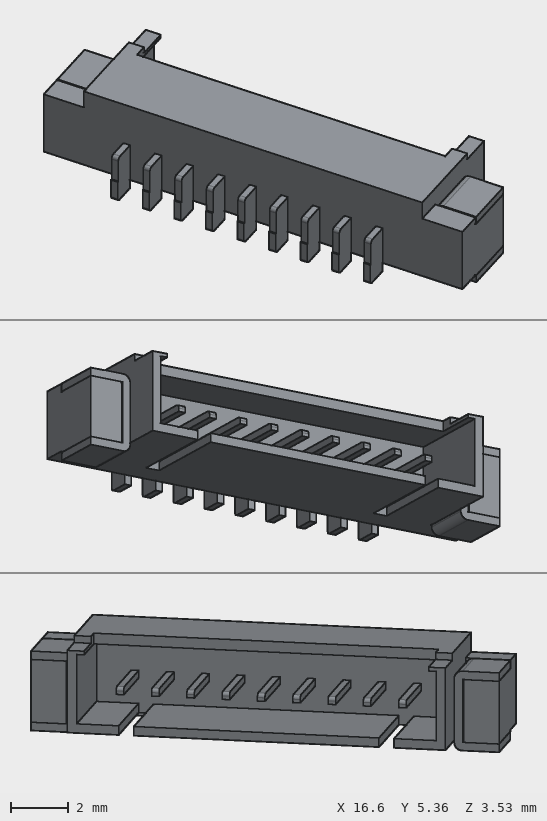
import cadquery as cq


LENGTH = 16.58
CORE_LENGTH = 13.4
DEPTH = 4.46
TOP = 3.53
BOTTOM = 0.35
EAR_DEPTH = 2.95
EAR_TOP = 2.84
COVER_DEPTH = 2.75
RIM_START = 3.25
RIM_TOP = 3.28

FRONT_WALL = 1.0
FLOOR = 0.33
ROOF_UNDERSIDE = 3.15
CAVITY_WIDTH = 12.73
WINDOW_WIDTH = 12.2
FLOOR_SLOT_INNER = 4.35
FLOOR_SLOT_OUTER = 4.87

TAB_THICKNESS = 0.3
TAB_FRONT = 1.0
TAB_CLEARANCE = 0.05
TAB_BEND_RADIUS = 0.28

PIN_COUNT = 9
PIN_PITCH = 1.25
PIN_WIDTH = 0.27
PIN_ROUND = 0.13
PIN_REACH = 0.9
PIN_SETBACK = 0.05
PIN_FOOT_TOP = 0.85
PIN_TOP = 1.85
PIN_TIP = 3.61
POST_HEIGHT = 0.27


def block(x0, x1, y0, y1, z0, z1):
    """Box between opposite corner coordinates."""
    return cq.Workplane("XY").box(x1 - x0, y1 - y0, z1 - z0, centered=False).translate((x0, y0, z0))


def both_ends(left):
    """A left-end shape together with its mirror image."""
    return left.union(left.mirror("YZ"))


def make_shell():
    """Housing body with its ears and lowered rear side walls."""
    half = CORE_LENGTH / 2
    core = block(-half, half, 0, DEPTH, BOTTOM, TOP)
    ears = block(-LENGTH / 2, LENGTH / 2, 0, EAR_DEPTH, BOTTOM, EAR_TOP)
    above_rim = block(-half, half, RIM_START, DEPTH, RIM_TOP, TOP)
    return core.union(ears).cut(above_rim)


def cut_cavity(shell):
    """Mating cavity with the roof window and the two slots through the floor."""
    floor_top = BOTTOM + FLOOR
    cavity = block(-CAVITY_WIDTH / 2, CAVITY_WIDTH / 2, FRONT_WALL, DEPTH, floor_top, ROOF_UNDERSIDE)
    window = block(-WINDOW_WIDTH / 2, WINDOW_WIDTH / 2, COVER_DEPTH, DEPTH, ROOF_UNDERSIDE, TOP)
    slot = block(-FLOOR_SLOT_OUTER, -FLOOR_SLOT_INNER, FRONT_WALL, DEPTH, BOTTOM, floor_top)
    return shell.cut(cavity).cut(window).cut(both_ends(slot))


def cut_tab_slots(shell):
    """Slot around each ear for its tab; the block left inside fills the C of the tab."""
    slot_front = TAB_FRONT - TAB_CLEARANCE
    outer = -LENGTH / 2
    web_outer = -CORE_LENGTH / 2
    core_inner = web_outer - TAB_THICKNESS - TAB_CLEARANCE
    slot = block(outer, web_outer, slot_front, EAR_DEPTH, BOTTOM, EAR_TOP)
    core = block(outer, core_inner, slot_front, EAR_DEPTH, TAB_THICKNESS, EAR_TOP - TAB_THICKNESS)
    return shell.cut(both_ends(slot)).union(both_ends(core))


def make_pin():
    """Contact centred on x = 0: post through the front wall, leg outside it and foot below the leg."""
    half = PIN_WIDTH / 2
    post = block(-half, half, 0, PIN_TIP, PIN_TOP - POST_HEIGHT, PIN_TOP)
    post = post.edges("|X and >Y and >Z").fillet(PIN_ROUND)
    leg = block(-half, half, PIN_SETBACK - PIN_REACH, 0, PIN_FOOT_TOP, PIN_TOP)
    leg = leg.edges("|X and <Y and >Z").fillet(PIN_ROUND)
    foot = block(-half, half, -PIN_REACH, 0, 0, PIN_FOOT_TOP)
    foot = foot.edges("|X and <Y and <Z").fillet(PIN_ROUND)
    return post.union(leg).union(foot)


def make_housing():
    """Insulator with the contacts fixed in it as one solid."""
    housing = cut_tab_slots(cut_cavity(make_shell()))
    pin = make_pin()
    for index in range(PIN_COUNT):
        offset = (index - (PIN_COUNT - 1) / 2) * PIN_PITCH
        housing = housing.union(pin.translate((offset, 0, 0)))
    return housing


def make_left_tab():
    """C-shaped strip: a flange above and below the ear joined by an inner web."""
    outer = -LENGTH / 2
    web_outer = -CORE_LENGTH / 2
    web_inner = web_outer - TAB_THICKNESS
    strip = block(outer, web_outer, TAB_FRONT, EAR_DEPTH, 0, EAR_TOP)
    strip = strip.edges("|Y and >X").fillet(TAB_BEND_RADIUS)
    opening = block(outer, web_inner, TAB_FRONT, EAR_DEPTH, TAB_THICKNESS, EAR_TOP - TAB_THICKNESS)
    return strip.cut(opening)


housing = make_housing()
left_tab = make_left_tab()
right_tab = left_tab.mirror("YZ")

result = cq.Compound.makeCompound([housing.val(), left_tab.val(), right_tab.val()])